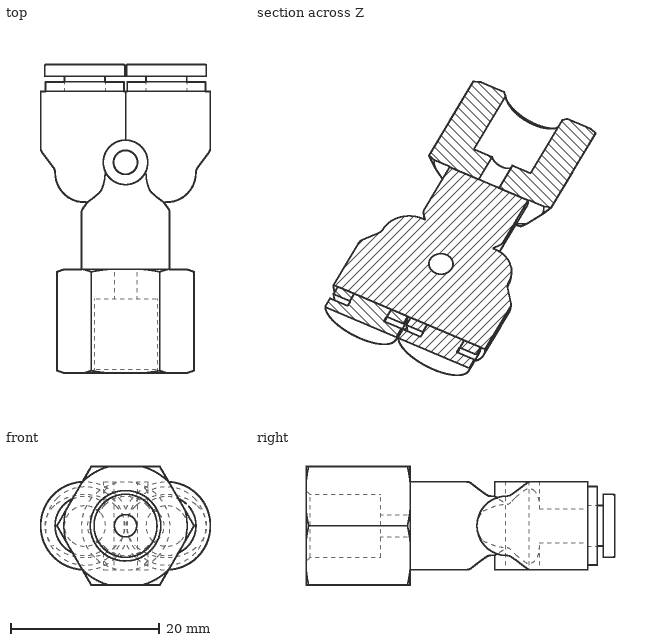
import cadquery as cq
import math

overall_length = 41.6

hex_across_flats = 16.0
hex_across_corners = hex_across_flats / math.cos(math.pi / 6)
nut_length = 14.0
nut_chamfer_circle = 16.6
nut_chamfer_angle = 20.0
bore_diameter = 8.5
bore_depth = 10.0
bore_chamfer = 0.5
passage_diameter = 3.0

pipe_diameter = 11.9
neck_diameter = 8.0
taper_length = 2.6
taper_fillet = 1.0
branch_spacing = 11.0
branch_face_y = 37.95
branch_taper_y = 30.0
dome_y = 27.0
stem_taper_y = 21.95

eye_y = 28.4
eye_diameter = 6.0
eye_hole_diameter = 3.2

collar_diameter = 10.6
collar_length = 1.3
collar_fillet = 0.1
sleeve_diameter = 5.5
flange_width = 10.8
flange_height = 8.5
flange_thickness = 1.6
flange_fillet = 0.2

branch_positions = [-branch_spacing / 2, branch_spacing / 2]


def rod(diameter, start_y, end_y, x=0.0):
    """Cylinder along Y from start_y to end_y."""
    plane = cq.Workplane("XZ", origin=(x, start_y, 0))
    return plane.circle(diameter / 2).extrude(start_y - end_y)


def tapered_pipe(pipe_length, neck_length):
    """Pipe along +Y from Y = 0 that narrows through a rounded cone to a neck."""
    neck_start = pipe_length + taper_length
    neck_end = neck_start + neck_length
    profile = (
        cq.Workplane("XY")
        .lineTo(pipe_diameter / 2, 0)
        .lineTo(pipe_diameter / 2, pipe_length)
        .lineTo(neck_diameter / 2, neck_start)
        .lineTo(neck_diameter / 2, neck_end)
        .lineTo(0, neck_end)
        .close()
    )
    pipe = profile.revolve(360, (0, 0, 0), (0, 1, 0))
    return pipe.faces("%CONE").edges("%CIRCLE").fillet(taper_fillet)


def make_branch(x):
    """Tube socket that points to +Y and ends in a dome on the stem side."""
    pipe_length = branch_face_y - branch_taper_y
    neck_length = branch_taper_y - taper_length - dome_y
    socket = tapered_pipe(pipe_length, neck_length)
    socket = socket.rotate((0, 0, 0), (0, 0, 1), 180).translate((x, branch_face_y, 0))
    dome = cq.Workplane("XY", origin=(x, dome_y, 0)).sphere(neck_diameter / 2)
    return socket.union(dome)


def make_housing():
    stem_pipe_length = stem_taper_y - nut_length
    stem_neck_length = eye_y - stem_taper_y - taper_length
    housing = tapered_pipe(stem_pipe_length, stem_neck_length).translate((0, nut_length, 0))
    for x in branch_positions:
        housing = housing.union(make_branch(x))
    eye_plane = cq.Workplane("XY", origin=(0, eye_y, 0))
    eye = eye_plane.circle(eye_diameter / 2).extrude(pipe_diameter / 2, both=True)
    hole = eye_plane.circle(eye_hole_diameter / 2).extrude(pipe_diameter, both=True)
    return housing.union(eye).cut(hole)


def make_nut():
    hexagon = cq.Workplane("XZ").polygon(6, hex_across_corners).extrude(-nut_length)
    face_radius = nut_chamfer_circle / 2
    corner_radius = hex_across_corners / 2
    bevel = (corner_radius - face_radius) * math.tan(math.radians(nut_chamfer_angle))
    blank = (
        cq.Workplane("XY")
        .lineTo(face_radius, 0)
        .lineTo(corner_radius, bevel)
        .lineTo(corner_radius, nut_length - bevel)
        .lineTo(face_radius, nut_length)
        .lineTo(0, nut_length)
        .close()
        .revolve(360, (0, 0, 0), (0, 1, 0))
    )
    bore_radius = bore_diameter / 2
    bore = (
        cq.Workplane("XY")
        .lineTo(bore_radius + bore_chamfer, 0)
        .lineTo(bore_radius, bore_chamfer)
        .lineTo(bore_radius, bore_depth)
        .lineTo(0, bore_depth)
        .close()
        .revolve(360, (0, 0, 0), (0, 1, 0))
    )
    passage = rod(passage_diameter, 0, nut_length)
    return hexagon.intersect(blank).cut(bore).cut(passage)


def make_collar(x):
    end_y = branch_face_y + collar_length
    ring = rod(collar_diameter, branch_face_y, end_y, x)
    ring = ring.faces(">Y").edges().fillet(collar_fillet)
    return ring.cut(rod(sleeve_diameter, branch_face_y, end_y, x))


def make_sleeve(x):
    """Release sleeve: a round stem through the collar and an oval push flange."""
    flange_y = overall_length - flange_thickness
    flange = (
        cq.Workplane("XZ", origin=(x, flange_y, 0))
        .ellipse(flange_width / 2, flange_height / 2)
        .extrude(-flange_thickness)
        .faces(">Y")
        .edges()
        .fillet(flange_fillet)
    )
    return flange.union(rod(sleeve_diameter, branch_face_y, flange_y, x))


housing = make_housing()
nut = make_nut()
collars = [make_collar(x) for x in branch_positions]
sleeves = [make_sleeve(x) for x in branch_positions]

bodies = [housing, nut, *collars, *sleeves]
result = cq.Compound.makeCompound([body.solids().val() for body in bodies])